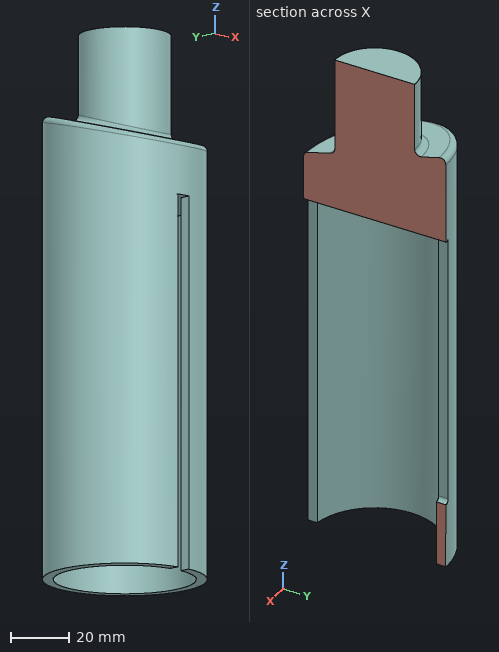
import cadquery as cq
import math

total_height = 190.0
body_diameter = 56.6
neck_diameter = 32.0

shoulder_height = 156.8
shoulder_angle = 15.0
edge_radius = 2.0

wall_thickness = 3.8
cavity_height = 130.3

front_slot_width = 5.3
rear_slot_width = 3.0
rear_slot_bottom = 25.0

body_radius = body_diameter / 2
bore_diameter = body_diameter - 2 * wall_thickness
shoulder_rise = body_radius * math.tan(math.radians(shoulder_angle))


def make_body():
    """Cylinder cut off by the sloped shoulder, with a rounded rim."""
    side_profile = (
        cq.Workplane("YZ")
        .moveTo(-body_radius, 0)
        .lineTo(body_radius, 0)
        .lineTo(body_radius, shoulder_height + shoulder_rise)
        .lineTo(-body_radius, shoulder_height - shoulder_rise)
        .close()
        .extrude(body_radius, both=True)
    )
    cylinder = cq.Workplane("XY").circle(body_radius).extrude(total_height)
    return cylinder.intersect(side_profile).faces(">Z").edges().fillet(edge_radius)


def add_neck(body):
    """Join the upright neck and fillet its foot on the shoulder."""
    neck_base = cavity_height
    foot_zone_reach = 1.9
    neck = (
        cq.Workplane("XY", origin=(0, 0, neck_base))
        .circle(neck_diameter / 2)
        .extrude(total_height - neck_base)
    )
    foot_zone = cq.selectors.BoxSelector(
        (-neck_diameter, -neck_diameter, shoulder_height - foot_zone_reach),
        (neck_diameter, neck_diameter, shoulder_height + foot_zone_reach),
    )
    foot_edges = body.union(neck).edges(foot_zone).edges("%ELLIPSE")
    return foot_edges.fillet(edge_radius)


def make_bore():
    return cq.Workplane("XY").circle(bore_diameter / 2).extrude(cavity_height)


def make_front_slot():
    """Slot in the -Y wall, open at the bottom end."""
    return cq.Workplane("XY").box(
        front_slot_width, body_radius, cavity_height, centered=(True, False, False)
    ).translate((0, -body_radius, 0))


def make_rear_slot():
    """Closed slot in the +Y wall with a round lower end."""
    half_width = rear_slot_width / 2
    arc_start = rear_slot_bottom + half_width
    return (
        cq.Workplane("XZ")
        .moveTo(-half_width, cavity_height)
        .lineTo(-half_width, arc_start)
        .threePointArc((0, rear_slot_bottom), (half_width, arc_start))
        .lineTo(half_width, cavity_height)
        .close()
        .extrude(-body_radius)
    )


part = add_neck(make_body())
result = part.cut(make_bore()).cut(make_front_slot()).cut(make_rear_slot())